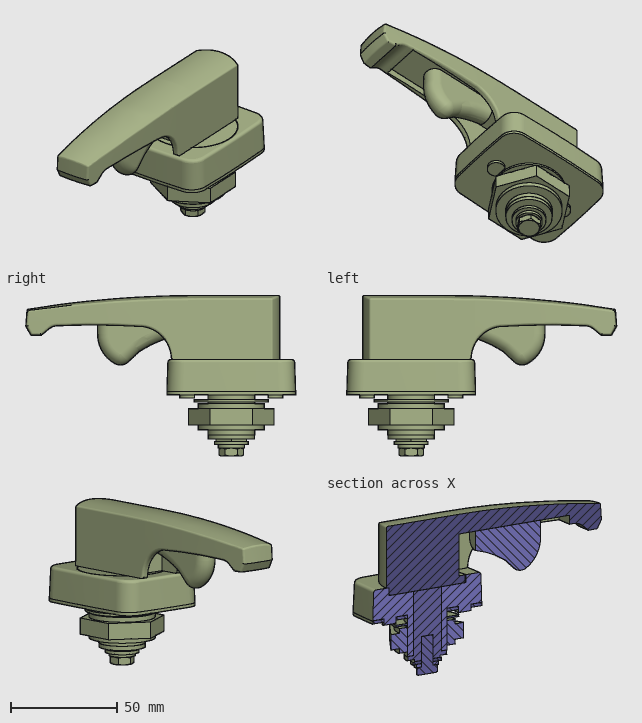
import cadquery as cq
import math


gasket_thickness = 1.5
housing_top = 16.7
handle_top = 46.9
sleeve_bottom = -18.8
stop_thickness = 2.0
square_height = 1.0
plain_washer_thickness = 1.5
small_washer_thickness = 1.7
head_height = 3.8
stop_bottom = sleeve_bottom - stop_thickness
square_bottom = stop_bottom - square_height
plain_washer_bottom = square_bottom - plain_washer_thickness
small_washer_bottom = plain_washer_bottom - small_washer_thickness

housing_half_x = 24.0
housing_half_y = 30.4
side_bulge = 0.8
end_bulge = 0.6
housing_corner = 7.9
housing_draft = 2.0
housing_top_fillet = 1.5
sleeve_radius = 11.1
stud_radius = 4.2
stud_y = 20.1
stud_flat_y = 17.3
stud_drop = 1.5

disc_radius = 21.0
recess_radius = 21.3
disc_thickness = 3.8
disc_bottom = housing_top - disc_thickness
shaft_radius = 7.6
stop_radius = 11.0
square_side = 10.2

panel_washer_top = -2.3
panel_washer_thickness = 1.1
nut_flats = 35.0
panel_washer_radius = nut_flats / 2
nut_top = -4.2
nut_bottom = -16.5
collar_radius = 15.7
collar_height = 2.3

plain_washer_radius = 8.0
small_washer_radius = 6.2
bolt_radius = 3.0
bolt_end = -10.2
head_flats = 10.0
head_rounding_height = 0.5
head_rounding_depth = 0.9

column_half_width = 12.2
rear_radius = 22.9
taper_start_y = -30.0
tip_y = -96.9
tip_half_width = 9.0
crown_radius = 48.4
crown_start_y = -15.5
top_curve_radius = 501.7
tip_bow_radius = 81.5
tip_face_top = (-95.9, 45.8)
tip_corner = (tip_y, 32.3)
toe_front = (-94.5, 28.0)
toe_back = (-89.5, 28.0)
grip_hollow_end = (-85.8, 31.1)
grip_hollow_mid = (-83.9, 32.1)
grip_front = (-81.2, 32.5)
grip_mid = (-61.1, 32.9)
grip_rear = (-41.4, 32.1)
throat_mid = (-32.3, 27.2)
column_front = (-28.3, housing_top)
handle_fillet = 1.0
tool_margin = 3.8

slot_half_width = 9.3
slot_rear_y = -17.8
slot_front_y = -79.0
slot_roof = 36.9
trigger_width = 10.5
trigger_round = 5.1
trigger_corner = 5.5
trigger_rear_y = -26.7
mast_y = -63.0
mast_bottom = 28.5
heel_radius = 15.8
heel_point_y = -50.9
ramp_top = (-43.3, 20.4)
ramp_mid = (-36.9, 24.0)
ramp_rear = (trigger_rear_y, 27.5)


def cylinder(radius, bottom, top):
    return cq.Workplane("XY").workplane(offset=bottom).circle(radius).extrude(top - bottom)


def ring(outer, inner, bottom, top):
    return cylinder(outer, bottom, top).cut(cylinder(inner, bottom, top))


def hexagon(across_flats, bottom, top):
    """Hexagonal prism with two flats facing +X and -X."""
    corner_diameter = across_flats / math.cos(math.pi / 6)
    prism = cq.Workplane("XY").polygon(6, corner_diameter).extrude(top - bottom)
    return prism.rotate((0, 0, 0), (0, 0, 1), 30).translate((0, 0, bottom))


def housing_outline(bottom):
    """Rectangle with bulged sides, its corners still sharp."""
    corner_x = housing_half_x - side_bulge
    corner_y = housing_half_y - end_bulge
    return (
        cq.Workplane("XY")
        .workplane(offset=bottom)
        .moveTo(corner_x, -corner_y)
        .threePointArc((housing_half_x, 0), (corner_x, corner_y))
        .threePointArc((0, housing_half_y), (-corner_x, corner_y))
        .threePointArc((-housing_half_x, 0), (-corner_x, -corner_y))
        .threePointArc((0, -housing_half_y), (corner_x, -corner_y))
        .close()
    )


def studs():
    """Two locating studs, flattened on the side that faces the sleeve."""
    pair = cq.Workplane("XY")
    for side in (1, -1):
        stud = cylinder(stud_radius, -stud_drop, gasket_thickness).translate((0, side * stud_y, 0))
        pair = pair.add(stud)
    inner_block = cq.Workplane("XY").rect(2 * stud_radius, 2 * stud_flat_y)
    inner_block = inner_block.extrude(2 * stud_drop, both=True)
    return pair.combine().cut(inner_block)


def make_housing():
    block = housing_outline(gasket_thickness).extrude(housing_top - gasket_thickness, taper=housing_draft)
    block = block.edges("not(>Z or <Z)").fillet(housing_corner)
    block = block.faces(">Z").edges().fillet(housing_top_fillet)
    block = block.union(cylinder(sleeve_radius, sleeve_bottom, gasket_thickness))
    block = block.union(studs())
    block = block.cut(cylinder(recess_radius, disc_bottom, housing_top))
    return block.cut(cylinder(shaft_radius, sleeve_bottom, disc_bottom))


def make_gasket():
    sheet = housing_outline(0).extrude(gasket_thickness).edges("|Z").fillet(housing_corner)
    return sheet.cut(cylinder(sleeve_radius, 0, gasket_thickness)).cut(studs())


def make_nut():
    hexagon_part = hexagon(nut_flats, nut_bottom + collar_height, nut_top - collar_height)
    nut = hexagon_part.union(cylinder(collar_radius, nut_bottom, nut_top))
    return nut.cut(cylinder(sleeve_radius, nut_bottom, nut_top))


def make_shaft():
    """Shaft with a stop disc and a square end set at 45 degrees, bored for the bolt."""
    square = cq.Workplane("XY").rect(square_side, square_side).extrude(square_height)
    square = square.rotate((0, 0, 0), (0, 0, 1), 45).translate((0, 0, square_bottom))
    shaft = cylinder(shaft_radius, sleeve_bottom, disc_bottom)
    shaft = shaft.union(cylinder(stop_radius, stop_bottom, sleeve_bottom)).union(square)
    return shaft.cut(cylinder(bolt_radius, square_bottom, bolt_end))


def make_bolt():
    head_bottom = small_washer_bottom - head_height
    corner_radius = head_flats / 2 / math.cos(math.pi / 6)
    rounding = cylinder(corner_radius, head_bottom, small_washer_bottom)
    rounding = rounding.faces("<Z or >Z").chamfer(head_rounding_height, head_rounding_depth)
    head = hexagon(head_flats, head_bottom, small_washer_bottom).intersect(rounding)
    return head.union(cylinder(bolt_radius, small_washer_bottom, bolt_end))


def handle_side_profile():
    """Side outline with a flat top above the crown, as wide as the column."""
    profile = (
        cq.Workplane("YZ")
        .moveTo(*column_front)
        .threePointArc(throat_mid, grip_rear)
        .threePointArc(grip_mid, grip_front)
        .threePointArc(grip_hollow_mid, grip_hollow_end)
        .lineTo(*toe_back)
        .lineTo(tip_y, toe_back[1])
        .lineTo(tip_y, handle_top)
        .lineTo(rear_radius, handle_top)
        .lineTo(rear_radius, housing_top)
        .close()
    )
    return profile.extrude(column_half_width, both=True)


def handle_plan():
    """Plan outline: round rear, straight column and gently curved tapering sides."""
    corner_y = math.sqrt(rear_radius**2 - column_half_width**2)
    taper_length = taper_start_y - tip_y
    taper_drop = column_half_width - tip_half_width
    taper_radius = (taper_length**2 + taper_drop**2) / (2 * taper_drop)
    mid_y = taper_start_y - taper_length / 2
    mid_x = column_half_width - taper_radius + math.sqrt(taper_radius**2 - (taper_length / 2) ** 2)
    return (
        cq.Workplane("XY")
        .workplane(offset=housing_top)
        .moveTo(column_half_width, corner_y)
        .threePointArc((0, rear_radius), (-column_half_width, corner_y))
        .lineTo(-column_half_width, taper_start_y)
        .threePointArc((-mid_x, mid_y), (-tip_half_width, tip_y))
        .lineTo(tip_half_width, tip_y)
        .threePointArc((mid_x, mid_y), (column_half_width, taper_start_y))
        .close()
        .extrude(handle_top - housing_top)
    )


def crowned_bar():
    """Bar whose crowned top runs level, then bends down towards the tip."""
    half_width = column_half_width + tool_margin
    rear_y = rear_radius + tool_margin
    crown_drop = crown_radius - math.sqrt(crown_radius**2 - half_width**2)
    bar_depth = handle_top
    bend = (crown_start_y - tip_y + tool_margin) / top_curve_radius

    def bend_point(angle):
        y = crown_start_y - top_curve_radius * math.sin(angle)
        return (y, handle_top - top_curve_radius * (1 - math.cos(angle)))

    path = (
        cq.Workplane("YZ")
        .moveTo(rear_y, handle_top)
        .lineTo(crown_start_y, handle_top)
        .threePointArc(bend_point(bend / 2), bend_point(bend))
    )
    return (
        cq.Workplane("XZ", origin=(0, rear_y, handle_top))
        .moveTo(-half_width, -crown_drop)
        .threePointArc((0, 0), (half_width, -crown_drop))
        .lineTo(half_width, -bar_depth)
        .lineTo(-half_width, -bar_depth)
        .close()
        .sweep(path)
    )


def tip_rounding():
    """Large turned disc whose rim slopes away from the tip corner and bows the end of the tip."""
    axis_y = tip_y + tip_bow_radius
    rim = [toe_front, tip_corner, tip_face_top]
    return (
        cq.Workplane("YZ")
        .moveTo(axis_y, housing_top)
        .lineTo(toe_front[0], housing_top)
        .polyline(rim, includeCurrent=True)
        .lineTo(tip_face_top[0], handle_top)
        .lineTo(axis_y, handle_top)
        .close()
        .revolve(360, (axis_y, 0), (axis_y, 1))
    )


def handle_rounded_edges(handle):
    """Edges to round: those along both sides, and the top rear, top tip, toe and column foot edges."""
    tolerance = 0.1

    def is_rounded_side(edge):
        center = edge.Center()
        beside_middle = abs(center.x) > tip_half_width / 2
        above_housing = center.z > housing_top + tolerance
        taper_seam = edge.geomType() == "LINE" and abs(center.y - taper_start_y) < tolerance
        return beside_middle and above_housing and not taper_seam

    crosswise_points = [
        (0, rear_radius, handle_top),
        (0, *tip_face_top),
        (0, *toe_front),
        (0, *column_front),
    ]
    edges = handle.edges().filter(is_rounded_side)
    for point in crosswise_points:
        edges = edges.add(handle.edges(cq.selectors.NearestToPointSelector(point)))
    return edges


def handle_slot():
    slot_length = slot_rear_y - slot_front_y
    slot_height = slot_roof - housing_top
    slot = cq.Workplane("XY").rect(2 * slot_half_width, slot_length).extrude(slot_height)
    return slot.translate((0, (slot_rear_y + slot_front_y) / 2, housing_top))


def make_handle():
    handle = handle_side_profile().intersect(handle_plan()).intersect(crowned_bar()).intersect(tip_rounding())
    handle = handle.newObject(handle_rounded_edges(handle).vals()).fillet(handle_fillet)
    handle = handle.cut(handle_slot())
    return handle.union(cylinder(disc_radius, disc_bottom, housing_top))


def make_trigger():
    """Finger paddle with a pointed heel, fully rounded along both sides of its lower outline."""
    heel_center_y = mast_y + heel_radius
    reach = heel_point_y - heel_center_y
    heel_point = (heel_point_y, mast_bottom - math.sqrt(heel_radius**2 - reach**2))
    diagonal = heel_radius * math.sqrt(0.5)
    heel_mid = (heel_center_y - diagonal, mast_bottom - diagonal)
    body = (
        cq.Workplane("YZ")
        .moveTo(mast_y, slot_roof)
        .lineTo(mast_y, mast_bottom)
        .threePointArc(heel_mid, heel_point)
        .lineTo(*ramp_top)
        .threePointArc(ramp_mid, ramp_rear)
        .lineTo(trigger_rear_y, slot_roof)
        .close()
        .extrude(trigger_width / 2, both=True)
    )
    heel_edge = cq.selectors.NearestToPointSelector((0, *heel_point))
    body = body.edges(heel_edge).fillet(trigger_corner)
    return body.faces("<X or >X").edges("not(>Z or >Y)").fillet(trigger_round)


housing = make_housing()
gasket = make_gasket()
panel_washer = ring(
    panel_washer_radius, sleeve_radius, panel_washer_top - panel_washer_thickness, panel_washer_top
)
nut = make_nut()
shaft = make_shaft()
plain_washer = ring(plain_washer_radius, bolt_radius, plain_washer_bottom, square_bottom)
small_washer = ring(small_washer_radius, bolt_radius, small_washer_bottom, plain_washer_bottom)
bolt = make_bolt()
handle = make_handle()
trigger = make_trigger()

bodies = [housing, gasket, panel_washer, nut, shaft, plain_washer, small_washer, bolt, handle, trigger]
result = cq.Compound.makeCompound([body.solids().val() for body in bodies])